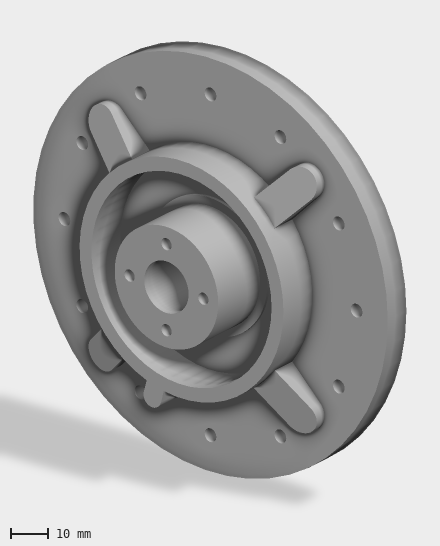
import cadquery as cq
import math

FLANGE_DIAMETER = 120.0
FLANGE_THICKNESS = 8.0
RING_OUTER_DIAMETER = 69.0
RING_INNER_DIAMETER = 61.0
RING_FRONT = 20.5
POCKET_FLOOR = FLANGE_THICKNESS
HUB_DIAMETER = 35.0
HUB_FRONT = 27.0
COLLAR_DIAMETER = 40.0
COLLAR_HEIGHT = 1.0
BORE_DIAMETER = 15.0

FLANGE_HOLE_ANGLE_FROM_AXIS = 28.6
AXIS_DIRECTIONS = 4
FLANGE_HOLE_DIAMETER = 4.0
FLANGE_HOLE_CIRCLE_RADIUS = 49.5
HUB_HOLE_COUNT = 4
HUB_HOLE_DIAMETER = 3.5
HUB_HOLE_CIRCLE_RADIUS = 12.5

RIB_COUNT = 4
RIB_FIRST_ANGLE = 45
RIB_WIDTH = 10.0
RIB_TIP_CENTER_RADIUS = 47.5
RIB_HEIGHT_AT_RING = 7.5
RIB_HEIGHT_AT_TIP = 3.0

NUB_WIDTH = 6.0
NUB_CENTER_RADIUS = 38.0
NUB_ANGLE = 255

wall_middle_radius = (RING_OUTER_DIAMETER + RING_INNER_DIAMETER) / 4


def disc(diameter, back, front):
    """Round disc on the Y axis between two depths."""
    plane = cq.Workplane("XZ", origin=(0, -back, 0))
    return plane.circle(diameter / 2).extrude(front - back)


def hole_circle(count, radius, diameter, first_angle=0):
    """Evenly spaced cutters passing through the whole part."""
    plane = cq.Workplane("XZ").polarArray(radius, first_angle, 360, count)
    return plane.circle(diameter / 2).extrude(HUB_FRONT)


def radial_arm(width, tip_center_radius, front):
    """Round-ended arm along +X, from inside the ring wall outward."""
    length = tip_center_radius - wall_middle_radius
    return (
        cq.Workplane("XZ", origin=(0, -FLANGE_THICKNESS, 0))
        .center(wall_middle_radius + length / 2, 0)
        .rect(length, width)
        .extrude(front - FLANGE_THICKNESS)
        .union(
            disc(width, FLANGE_THICKNESS, front)
            .translate((tip_center_radius, 0, 0))
        )
    )


def turn(shape, angle):
    """Rotate about the part axis, from +X toward +Z."""
    return shape.rotate((0, 0, 0), (0, -1, 0), angle)


def sloped_rib():
    """Radial arm whose front face falls in a straight line to the tip."""
    ring_radius = math.sqrt((RING_OUTER_DIAMETER / 2) ** 2 - (RIB_WIDTH / 2) ** 2)
    tip_radius = RIB_TIP_CENTER_RADIUS + RIB_WIDTH / 2
    slope = (RIB_HEIGHT_AT_RING - RIB_HEIGHT_AT_TIP) / (tip_radius - ring_radius)
    inner_height = RIB_HEIGHT_AT_RING + slope * (ring_radius - wall_middle_radius)
    profile = (
        cq.Workplane("XY")
        .moveTo(wall_middle_radius, -FLANGE_THICKNESS)
        .lineTo(tip_radius, -FLANGE_THICKNESS)
        .lineTo(tip_radius, -FLANGE_THICKNESS - RIB_HEIGHT_AT_TIP)
        .lineTo(wall_middle_radius, -FLANGE_THICKNESS - inner_height)
        .close()
        .extrude(RIB_WIDTH / 2, both=True)
    )
    return radial_arm(RIB_WIDTH, RIB_TIP_CENTER_RADIUS, RING_FRONT).intersect(profile)


body = disc(FLANGE_DIAMETER, 0, FLANGE_THICKNESS)
body = body.union(disc(RING_OUTER_DIAMETER, 0, RING_FRONT))
for index in range(RIB_COUNT):
    body = body.union(turn(sloped_rib(), RIB_FIRST_ANGLE + index * 360 / RIB_COUNT))
body = body.union(turn(radial_arm(NUB_WIDTH, NUB_CENTER_RADIUS, RING_FRONT), NUB_ANGLE))

body = body.cut(disc(RING_INNER_DIAMETER, POCKET_FLOOR, RING_FRONT))
body = body.union(disc(COLLAR_DIAMETER, 0, POCKET_FLOOR + COLLAR_HEIGHT))
body = body.union(disc(HUB_DIAMETER, 0, HUB_FRONT))

body = body.cut(disc(BORE_DIAMETER, 0, HUB_FRONT))
for angle in (-FLANGE_HOLE_ANGLE_FROM_AXIS, 0, FLANGE_HOLE_ANGLE_FROM_AXIS):
    body = body.cut(hole_circle(AXIS_DIRECTIONS, FLANGE_HOLE_CIRCLE_RADIUS, FLANGE_HOLE_DIAMETER, angle))
body = body.cut(hole_circle(HUB_HOLE_COUNT, HUB_HOLE_CIRCLE_RADIUS, HUB_HOLE_DIAMETER))

result = body